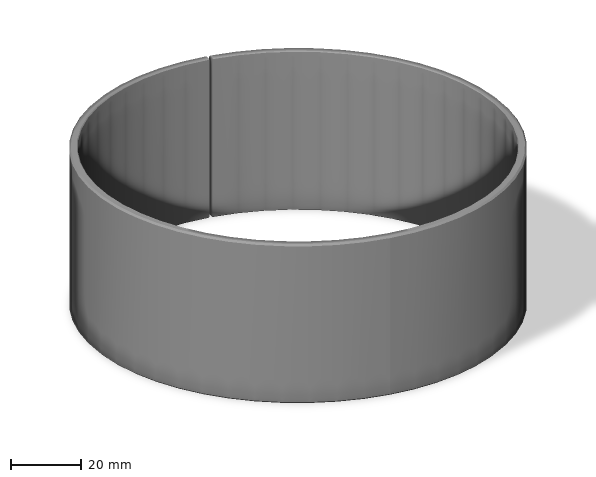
import cadquery as cq

outer_diameter = 130.0
wall_thickness = 2.5
height = 50.0
slit_width = 1.0
outer_chamfer = 0.5
inner_chamfer = 0.3

outer_radius = outer_diameter / 2
inner_radius = outer_radius - wall_thickness


def make_ring():
    """Revolve the wall section, with chamfered rims, about Z."""
    section = (
        cq.Workplane("XZ")
        .moveTo(inner_radius + inner_chamfer, 0)
        .lineTo(outer_radius - outer_chamfer, 0)
        .lineTo(outer_radius, outer_chamfer)
        .lineTo(outer_radius, height - outer_chamfer)
        .lineTo(outer_radius - outer_chamfer, height)
        .lineTo(inner_radius + inner_chamfer, height)
        .lineTo(inner_radius, height - inner_chamfer)
        .lineTo(inner_radius, inner_chamfer)
        .close()
    )
    return section.revolve(360, (0, 0, 0), (0, 1, 0))


def make_slit():
    """Box through the -X wall, with one face on the XZ plane and the other at +Y."""
    return cq.Workplane("XY").box(
        outer_diameter, slit_width, height, centered=(True, False, False)
    ).translate((-outer_radius, 0, 0))


result = make_ring().cut(make_slit())